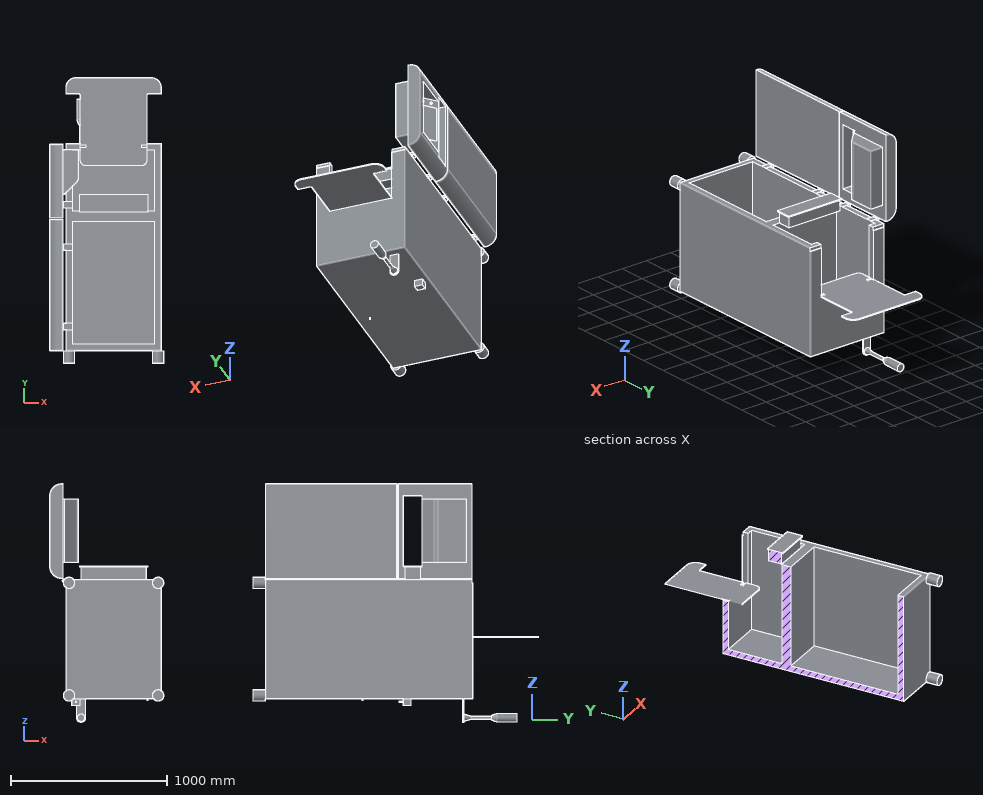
import cadquery as cq

CABINET_WIDTH = 612.0
CABINET_LENGTH = 1330.0
CABINET_DEPTH = 765.0
WALL = 44.0
DIVIDER_START = 828.0
DIVIDER_END = 897.0
END_STEP_DEPTH = 5.0
END_STEP_BOTTOM = 742.0
EDGE_ROUNDING = 4.0

FOOT_RADIUS = 37.0
FOOT_LENGTH = 80.0
FOOT_X = 285.0
FOOT_INSET = 22.0

SHELF_WIDTH = 440.0
SHELF_START = 888.0
SHELF_END = 1002.0
SHELF_TOP = 852.0
SHELF_THICKNESS = 7.0
SHELF_BOX_WIDTH = 420.0
SHELF_BOX_INSET = 7.0

HINGE_RADIUS = 10.0
HINGE_X = -320.0
HINGE_Z = 756.0
HINGE_LENGTH = 42.0
HINGE_CENTRES = (155.0, 665.0, 935.0, 1221.0)
LEAF_BOTTOM = 758.0
LEAF_TOP = 767.0

SOCKET_WIDTH = 55.0
SOCKET_LENGTH = 51.0
SOCKET_HEIGHT = 44.0
SOCKET_X = -242.0
SOCKET_Y = 908.0
PIN_RADIUS = 4.0
SOCKET_PIN_LENGTH = 27.0
SOCKET_PIN_Z = -18.0
STUD_X = 216.0
STUD_Y = 623.0
STUD_HEIGHT = 11.0

DOOR_FRONT_X = -410.0
DOOR_THICKNESS = 86.0
DOOR_BOTTOM = 771.0
DOOR_HEIGHT = 608.0
DOOR_ROUNDING = 79.0
LOWER_DOOR_END = 842.0
UPPER_DOOR_START = 850.0
UPPER_DOOR_END = 1324.0
WINDOW_START = 885.0
WINDOW_END = 1002.0

HOUSING_DEPTH = 99.0
HOUSING_STEP = 10.0
HOUSING_END = 1290.0
HOUSING_BOTTOM = 874.0
HOUSING_TOP = 1282.0
HOUSING_BEND = 37.0
RECESS_START = 1013.0
RECESS_END = 1270.0
RECESS_BOTTOM = 883.0
RECESS_TOP = 1265.0

SCREEN_HEIGHT = 249.0
SCREEN_WIDTH = 161.0
SCREEN_Z = 1086.0
SCREEN_SINK = 2.0
SCREEN_CORNER = 10.0
SMALL_KNOB_HEIGHT = 5.0
SMALL_KNOB_RADIUS = 7.0
LARGE_KNOB_HEIGHT = 16.0
LARGE_KNOB_RADIUS = 15.0
KNOB_ROW_Y = (1090.0, 1050.0)
LARGE_KNOB_Y = 1119.0
KNOB_TOP_Z = 1236.0
KNOB_BOTTOM_Z = 914.0
LARGE_KNOB_Z = 930.0

SIGN_WIDTH = 429.0
SIGN_HEAD_WIDTH = 612.0
SIGN_START = 1187.0
SIGN_NECK_END = 1646.0
SIGN_END = 1750.0
SIGN_TOP = 401.0
SIGN_THICKNESS = 7.0
SIGN_HEAD_ROUNDING = 65.0
SIGN_TAIL_ROUNDING = 37.0
SIGN_NECK_ROUNDING = 10.0
SIGN_NOTCH_DEPTH = 37.0
SIGN_NOTCH_START = 1304.0
SIGN_NOTCH_END = 1320.0

LAMP_X = -209.0
LAMP_Z = -120.0
BRACKET_RADIUS = 30.0
BRACKET_START = 1264.0
BRACKET_THICKNESS = 10.0
POLE_RADIUS = 11.0
POLE_BASE_RADIUS = 24.0
POLE_BASE_END = 1317.0
COLLAR_START = 1449.0
COLLAR_RADIUS = 15.0
LAMP_START = 1465.0
LAMP_RADIUS = 27.0
LAMP_BEVEL = 5.0
LAMP_BEVEL_END = 1483.0
LAMP_END = 1613.0


def box(x_range, y_range, z_range):
    """A block spanning the given ranges along X, Y and Z."""
    (x0, x1), (y0, y1), (z0, z1) = x_range, y_range, z_range
    return cq.Workplane("XY").box(x1 - x0, y1 - y0, z1 - z0, centered=False).translate((x0, y0, z0))


def centred(width, middle=0.0):
    """The range of the given width about its middle."""
    return (middle - width / 2, middle + width / 2)


def rod(x, z, radius, y_range):
    """A round rod along Y."""
    y0, y1 = y_range
    return cq.Workplane("XZ", origin=(x, y0, z)).circle(radius).extrude(y0 - y1)


def make_shelf():
    """A flat tray on a narrower box that stands on the divider."""
    tray_underside = SHELF_TOP - SHELF_THICKNESS
    tray = box(centred(SHELF_WIDTH), (SHELF_START, SHELF_END), (tray_underside, SHELF_TOP))
    box_y = (SHELF_START + SHELF_BOX_INSET, SHELF_END - SHELF_BOX_INSET)
    return tray.union(box(centred(SHELF_BOX_WIDTH), box_y, (CABINET_DEPTH, tray_underside)))


def make_hinge(y):
    """A barrel beside the cabinet with a leaf that lies on the rim."""
    y_range = centred(HINGE_LENGTH, y)
    rim_inside = -CABINET_WIDTH / 2 + WALL
    leaf = box((HINGE_X, rim_inside), y_range, (LEAF_BOTTOM, LEAF_TOP))
    return rod(HINGE_X, HINGE_Z, HINGE_RADIUS, y_range).union(leaf)


def make_bracket():
    """A round-ended plate under the cabinet back, with a hole for the lamp pole."""
    bracket_y = (BRACKET_START, BRACKET_START + BRACKET_THICKNESS)
    plate = box(centred(2 * BRACKET_RADIUS, LAMP_X), bracket_y, (LAMP_Z, 0))
    plate = plate.union(rod(LAMP_X, LAMP_Z, BRACKET_RADIUS, bracket_y))
    return plate.cut(rod(LAMP_X, LAMP_Z, POLE_BASE_RADIUS, bracket_y))


def make_cabinet():
    cabinet = box(centred(CABINET_WIDTH), (0, CABINET_LENGTH), (0, CABINET_DEPTH))
    cabinet = cabinet.edges().fillet(EDGE_ROUNDING)

    step_y = (CABINET_LENGTH - END_STEP_DEPTH, CABINET_LENGTH)
    cabinet = cabinet.cut(box(centred(CABINET_WIDTH), step_y, (END_STEP_BOTTOM, CABINET_DEPTH)))

    for y_range in ((WALL, DIVIDER_START), (DIVIDER_END, CABINET_LENGTH - WALL)):
        cabinet = cabinet.cut(box(centred(CABINET_WIDTH - 2 * WALL), y_range, (WALL, CABINET_DEPTH)))

    gap_y = (CABINET_LENGTH - WALL, CABINET_LENGTH)
    cabinet = cabinet.cut(box(centred(SIGN_WIDTH), gap_y, (SIGN_TOP - SIGN_THICKNESS, CABINET_DEPTH)))

    for x in (-FOOT_X, FOOT_X):
        for z in (FOOT_INSET, CABINET_DEPTH - FOOT_INSET):
            cabinet = cabinet.union(rod(x, z, FOOT_RADIUS, (-FOOT_LENGTH, 0)))

    for y in HINGE_CENTRES:
        cabinet = cabinet.union(make_hinge(y))

    socket_y = centred(SOCKET_LENGTH, SOCKET_Y)
    cabinet = cabinet.union(box(centred(SOCKET_WIDTH, SOCKET_X), socket_y, (-SOCKET_HEIGHT, 0)))
    pin_y = (socket_y[0] - SOCKET_PIN_LENGTH, socket_y[0])
    cabinet = cabinet.union(rod(SOCKET_X, SOCKET_PIN_Z, PIN_RADIUS, pin_y))
    stud = cq.Workplane("XY").center(STUD_X, STUD_Y).circle(PIN_RADIUS).extrude(-STUD_HEIGHT)
    return cabinet.union(stud).union(make_bracket()).union(make_shelf())


def make_door(y_range):
    """A door panel with both long outer edges rounded."""
    x_range = (DOOR_FRONT_X, DOOR_FRONT_X + DOOR_THICKNESS)
    panel = box(x_range, y_range, (DOOR_BOTTOM, DOOR_BOTTOM + DOOR_HEIGHT))
    panel = panel.edges("|Y and <X").fillet(DOOR_ROUNDING)
    return panel.faces("<Y or >Y").edges("not >X").fillet(EDGE_ROUNDING)


def make_housing():
    """The housing on the inside of the upper door, with one side sloping at 45 degrees."""
    door_back = DOOR_FRONT_X + DOOR_THICKNESS
    slope = HOUSING_DEPTH - HOUSING_STEP
    outline = [
        (door_back, WINDOW_END),
        (door_back + HOUSING_STEP, WINDOW_END),
        (door_back + HOUSING_DEPTH, WINDOW_END + slope),
        (door_back + HOUSING_DEPTH, HOUSING_END),
        (door_back, HOUSING_END),
    ]
    height = HOUSING_TOP - HOUSING_BOTTOM
    housing = cq.Workplane("XY", origin=(0, 0, HOUSING_BOTTOM)).polyline(outline).close().extrude(height)
    bend = cq.selectors.NearestToPointSelector((outline[2][0], outline[2][1], (HOUSING_BOTTOM + HOUSING_TOP) / 2))
    housing = housing.edges(bend).fillet(HOUSING_BEND)
    return housing.edges("(>X or >Y or >Z or <Z) and (not <X)").fillet(EDGE_ROUNDING)


def slope_plane(y, z):
    """A plane on the control slope at the given place, facing out of the recess, with local X along Z."""
    x = DOOR_FRONT_X + (y - RECESS_START)
    return cq.Workplane(cq.Plane(origin=(x, y, z), xDir=(0, 0, 1), normal=(-1, 1, 0)))


def make_upper_door():
    door = make_door((UPPER_DOOR_START, UPPER_DOOR_END)).union(make_housing())

    window_x = (DOOR_FRONT_X, DOOR_FRONT_X + DOOR_THICKNESS)
    window_z = (DOOR_BOTTOM + DOOR_ROUNDING, DOOR_BOTTOM + DOOR_HEIGHT - DOOR_ROUNDING)
    door = door.cut(box(window_x, (WINDOW_START, WINDOW_END), window_z))

    recess_depth = (RECESS_END - RECESS_START) / 2
    recess = (
        cq.Workplane("XY", origin=(0, 0, RECESS_BOTTOM))
        .moveTo(DOOR_FRONT_X, RECESS_START)
        .lineTo(DOOR_FRONT_X + recess_depth, RECESS_START + recess_depth)
        .lineTo(DOOR_FRONT_X, RECESS_END)
        .close()
        .extrude(RECESS_TOP - RECESS_BOTTOM)
    )
    door = door.cut(recess)

    slope_middle = RECESS_START + recess_depth / 2
    screen = slope_plane(slope_middle, SCREEN_Z).rect(SCREEN_HEIGHT, SCREEN_WIDTH).extrude(-SCREEN_SINK)
    door = door.cut(screen.edges("|(1,-1,0)").fillet(SCREEN_CORNER))

    for y in KNOB_ROW_Y:
        for z in (KNOB_BOTTOM_Z, KNOB_TOP_Z):
            door = door.union(slope_plane(y, z).circle(SMALL_KNOB_RADIUS).extrude(SMALL_KNOB_HEIGHT))
    large_knob = slope_plane(LARGE_KNOB_Y, LARGE_KNOB_Z).circle(LARGE_KNOB_RADIUS).extrude(LARGE_KNOB_HEIGHT)
    return door.union(large_knob)


def make_sign():
    """A thin plate with a wide head and a neck that enters the upper compartment."""
    height = (SIGN_TOP - SIGN_THICKNESS, SIGN_TOP)
    head = box(centred(SIGN_HEAD_WIDTH), (SIGN_NECK_END, SIGN_END), height)
    head = head.edges("|Z and >Y").fillet(SIGN_HEAD_ROUNDING)
    neck = box(centred(SIGN_WIDTH), (SIGN_START, SIGN_NECK_END), height)
    neck = neck.edges("|Z and <Y").fillet(SIGN_TAIL_ROUNDING)
    sign = head.union(neck)
    half_width = SIGN_WIDTH / 2
    for side in (-1, 1):
        corner = cq.selectors.NearestToPointSelector((side * half_width, SIGN_NECK_END, SIGN_TOP - SIGN_THICKNESS / 2))
        sign = sign.edges(corner).fillet(SIGN_NECK_ROUNDING)
    for side in (-1, 1):
        notch_x = centred(SIGN_NOTCH_DEPTH, side * (half_width - SIGN_NOTCH_DEPTH / 2))
        sign = sign.cut(box(notch_x, (SIGN_NOTCH_START, SIGN_NOTCH_END), height))
    return sign


def make_lamp():
    """A turned lamp on a thin pole, whose foot goes through the bracket."""
    profile = [
        (0, BRACKET_START),
        (POLE_BASE_RADIUS, BRACKET_START),
        (POLE_BASE_RADIUS, BRACKET_START + BRACKET_THICKNESS),
        (POLE_RADIUS, POLE_BASE_END),
        (POLE_RADIUS, COLLAR_START),
        (COLLAR_RADIUS, COLLAR_START),
        (LAMP_RADIUS - LAMP_BEVEL, LAMP_START),
        (LAMP_RADIUS, LAMP_BEVEL_END),
        (LAMP_RADIUS, LAMP_END),
        (0, LAMP_END),
    ]
    turned = cq.Workplane("XY").polyline(profile).close().revolve(360, (0, 0, 0), (0, 1, 0))
    return turned.translate((LAMP_X, 0, LAMP_Z))


cabinet = make_cabinet()
lower_door = make_door((0, LOWER_DOOR_END))
upper_door = make_upper_door()
sign = make_sign()
lamp = make_lamp()

result = cq.Compound.makeCompound(
    [body.solids().val() for body in (cabinet, lower_door, upper_door, sign, lamp)]
)